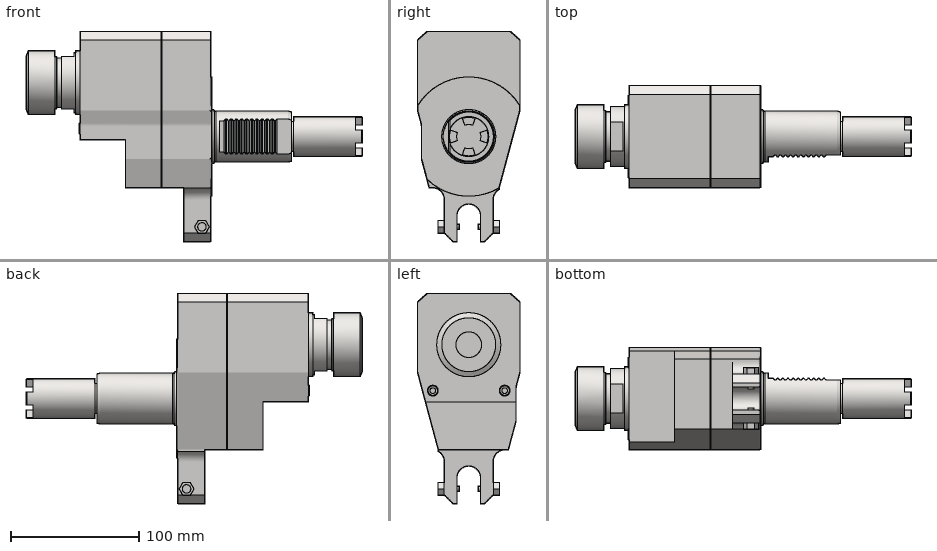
import cadquery as cq
import math


overall_length = 262.01

half_width = 40.0
top_z = 82.0
top_chamfer_y = 7.3
top_chamfer_z = 6.6
taper_angle = math.radians(15)
taper_top_z = 20.3
bottom_z = -40.0
side_flat_y = 37.0
side_flat_bottom_z = -17.5
side_flat_round = 8.0
taper_slope = math.tan(taper_angle)
bottom_y = half_width - (taper_top_z - bottom_z) * taper_slope

front_x = -102.0
foot_front_x = -66.6
foot_top_z = -2.5
seam_x = -38.6
seam_width = 0.8
seam_depth = 0.4

seat_radius = 46.5
seat_height = 0.8
rear_bevel_length = 1.6
rear_bevel_inset = 0.4

arm_thickness = 21.3
arm_half_width = 19.1
arm_fillet = 9.2
arm_bottom_z = -82.0
arm_chamfer = 6.8
slot_radius = 9.1
slot_top_z = -52.7

bolt_x = -7.0
bolt_z = -70.4
bolt_across_flats = 10.0
bolt_head_height = 5.0
bolt_face_radius = 3.3
bolt_face_recess = 0.2
bolt_tip_radius = 2.2
bolt_tip_y = 7.4

tool_z = 42.0
nose_x = -144.0
nut_end_x = -121.7
nut_radius = 25.0
nut_face_radius = 21.0
nut_chamfer_length = 1.7
ridge_radius = 20.4
ridge_end_x = -120.4
ridge_cone_length = 0.6
neck_radius = 19.4
body_start_x = -116.6
body_radius = 23.5
flat_end_x = -106.9
flange_start_x = -105.5
flange_radius = 25.0
wrench_flat_half = 20.6
bore_radius = 10.0
bore_depth = 25.0

screw_y = 28.0
screw_z = 6.2
screw_radius = 4.2
screw_height = 0.9
screw_chamfer = 0.5
screw_hole_radius = 2.2
screw_hole_depth = 4.0

shank_radius = 20.0
shank_end_x = 63.0
shank_chamfer_length = 2.7
shank_chamfer_height = 0.8
collar_radius = 21.1
collar_round = 1.1
collar_end_x = 2.7
lead_in_radius = 19.4
lead_in_end_x = 3.8

crest_y = -15.9
root_y = -14.5
crest_start_x = 6.6
tooth_pitch = 4.0
tooth_count = 10
first_root_x = 11.9
root_width = 0.8
groove_mouth_width = 3.5

journal_radius = 11.8
tail_start_x = 64.5
tail_radius = 15.6
tail_end_x = nose_x + overall_length
tail_chamfer = 0.6
drive_depth = 5.3
drive_recess_radius = 9.4
lug_count = 4
lug_half_angle = math.radians(19.5)


def box(x0, x1, y0, y1, z0, z1):
    """Box between opposite corners."""
    return cq.Workplane("XY").box(x1 - x0, y1 - y0, z1 - z0, centered=False).translate((x0, y0, z0))


def turned(points, axis_z):
    """Solid of revolution about the X-parallel axis at height axis_z, from (x, radius) points."""
    profile = [(points[0][0], 0)] + points + [(points[-1][0], 0)]
    solid = cq.Workplane("XZ").polyline(profile).close().revolve(360, (0, 0, 0), (1, 0, 0))
    return solid.translate((0, 0, axis_z))


def rod_x(x0, x1, radius, y, z):
    """Cylinder along X."""
    return cq.Workplane("YZ", origin=(x0, y, z)).circle(radius).extrude(x1 - x0)


def make_housing():
    """Tapered housing with a side flat and a recess under its front."""
    flat_top_z = taper_top_z - (half_width - side_flat_y) / taper_slope
    flat_bottom_y = side_flat_y - (side_flat_bottom_z - bottom_z) * taper_slope
    outline = [
        (half_width - top_chamfer_y, top_z),
        (half_width, top_z - top_chamfer_z),
        (half_width, taper_top_z),
        (bottom_y, bottom_z),
        (-flat_bottom_y, bottom_z),
        (-side_flat_y, side_flat_bottom_z),
        (-side_flat_y, flat_top_z),
        (-half_width, taper_top_z),
        (-half_width, top_z - top_chamfer_z),
        (-half_width + top_chamfer_y, top_z),
    ]
    start = cq.Workplane("YZ", origin=(front_x, 0, 0))
    housing = start.polyline(outline).close().extrude(seat_height - front_x)
    flat_corner = cq.selectors.BoxSelector(
        (front_x, -half_width, flat_top_z - side_flat_round),
        (seat_height, -bottom_y, flat_top_z + side_flat_round),
    )
    housing = housing.edges("|X").edges(flat_corner).fillet(side_flat_round)
    return housing.cut(box(front_x, foot_front_x, -half_width, half_width, bottom_z, foot_top_z))


def make_arm():
    """Fork arm with rounded roots, a round-ended slot and chamfered tips."""
    x0 = -arm_thickness
    x1 = seat_height
    web_half_width = arm_half_width + arm_fillet
    web_z = bottom_z - arm_fillet
    arm = box(x0, x1, -arm_half_width, arm_half_width, arm_bottom_z, bottom_z)
    arm = arm.edges("|X and <Z").chamfer(arm_chamfer)
    arm = arm.union(box(x0, x1, -web_half_width, bottom_y, web_z, bottom_z))
    for side in (-1, 1):
        arm = arm.cut(rod_x(x0, x1, arm_fillet, side * web_half_width, web_z))
    slot_center_z = slot_top_z - slot_radius
    arm = arm.cut(rod_x(x0, x1, slot_radius, 0, slot_center_z))
    return arm.cut(box(x0, x1, -slot_radius, slot_radius, arm_bottom_z, slot_center_z))


def finish_rear(body):
    """Bevel the rear outline, then leave the seating disc proud of the rear face."""
    body = body.faces(">X").chamfer(rear_bevel_inset, rear_bevel_length)
    slab = box(0, seat_height, -half_width, half_width, arm_bottom_z, top_z)
    return body.cut(slab.cut(rod_x(0, seat_height, seat_radius, 0, 0)))


def cut_seam(housing):
    """Shallow joint groove around the housing outline."""
    x0 = seam_x - seam_width / 2
    x1 = seam_x + seam_width / 2
    band = housing.intersect(box(x0, x1, -half_width, half_width, bottom_z, top_z))
    core_outline = band.faces("<X").wires().val().offset2D(-seam_depth)[0]
    core = cq.Workplane("YZ", origin=(x0, 0, 0)).add(core_outline).toPending().extrude(seam_width)
    return housing.cut(band.cut(core))


def make_bolt(side):
    """Clamping bolt on one fork leg, side being the sign of Y."""
    seat = cq.Workplane("XZ", origin=(bolt_x, 0, bolt_z))
    corner_diameter = bolt_across_flats / math.cos(math.pi / 6)
    head_y = arm_half_width + bolt_head_height
    head = seat.workplane(offset=arm_half_width).polygon(6, corner_diameter).extrude(bolt_head_height)
    recess = seat.workplane(offset=head_y).circle(bolt_face_radius).extrude(-bolt_face_recess)
    stem = seat.workplane(offset=bolt_tip_y).circle(bolt_tip_radius).extrude(arm_half_width - bolt_tip_y)
    bolt = head.cut(recess).union(stem)
    if side > 0:
        bolt = bolt.mirror("XZ")
    return bolt


def make_tool_spindle():
    """Clamping nut, neck, wrench body and flange, with a blind bore in the nose."""
    spindle = turned(
        [
            (nose_x, nut_face_radius),
            (nose_x + nut_chamfer_length, nut_radius),
            (nut_end_x, nut_radius),
            (nut_end_x, ridge_radius),
            (ridge_end_x, ridge_radius),
            (ridge_end_x + ridge_cone_length, neck_radius),
            (body_start_x, neck_radius),
            (body_start_x, body_radius),
            (flange_start_x, body_radius),
            (flange_start_x, flange_radius),
            (front_x, flange_radius),
        ],
        tool_z,
    )
    for z0 in (tool_z - body_radius, tool_z + wrench_flat_half):
        z1 = z0 + body_radius - wrench_flat_half
        spindle = spindle.cut(box(body_start_x, flat_end_x, -body_radius, body_radius, z0, z1))
    return spindle.cut(rod_x(nose_x, nose_x + bore_depth, bore_radius, 0, tool_z))


def make_screw(y):
    """Chamfered screw head standing on the front face."""
    head = rod_x(front_x - screw_height, front_x, screw_radius, y, screw_z)
    return head.faces("<X").edges().chamfer(screw_chamfer)


def screw_hole(y):
    """Blind hole through a screw head into the housing."""
    x0 = front_x - screw_height
    return rod_x(x0, x0 + screw_hole_depth, screw_hole_radius, y, screw_z)


def make_shank():
    """Rounded collar, locating shank, journal and drive tail."""
    collar = rod_x(0, collar_end_x, collar_radius, 0, 0)
    collar = collar.faces(">X").edges().fillet(collar_round)
    shank = turned(
        [
            (0, lead_in_radius),
            (collar_end_x, lead_in_radius),
            (lead_in_end_x, shank_radius),
            (shank_end_x - shank_chamfer_length, shank_radius),
            (shank_end_x, shank_radius - shank_chamfer_height),
            (shank_end_x, journal_radius),
            (tail_start_x, journal_radius),
            (tail_start_x, tail_radius),
            (tail_end_x - tail_chamfer, tail_radius),
            (tail_end_x, tail_radius - tail_chamfer),
        ],
        0,
    )
    return shank.union(collar)


def cut_teeth(shank):
    """Mill the flat, its tooth grooves and the deeper flat at the end of the shank."""
    half_mouth = groove_mouth_width / 2
    half_root = root_width / 2
    profile = cq.Workplane("XY").moveTo(crest_start_x, -shank_radius).lineTo(crest_start_x, crest_y)
    for i in range(tooth_count):
        root_x = first_root_x + i * tooth_pitch
        profile = profile.lineTo(root_x - half_mouth, crest_y).lineTo(root_x - half_root, root_y)
        profile = profile.lineTo(root_x + half_root, root_y).lineTo(root_x + half_mouth, crest_y)
    end_root_x = first_root_x + tooth_count * tooth_pitch
    profile = profile.lineTo(end_root_x - half_mouth, crest_y).lineTo(end_root_x - half_root, root_y)
    profile = profile.lineTo(shank_end_x, root_y).lineTo(shank_end_x, -shank_radius).close()
    return shank.cut(profile.extrude(shank_radius, both=True))


def cut_drive_end(shank):
    """Clear the end of the tail down to four radial lugs around a central recess."""
    x0 = tail_end_x - drive_depth
    reach = 2 * tail_radius
    lug_half_width = reach * math.tan(lug_half_angle)
    waste = rod_x(x0, tail_end_x, tail_radius, 0, 0)
    wedge = cq.Workplane("YZ", origin=(x0, 0, 0))
    wedge = wedge.polyline([(0, 0), (lug_half_width, reach), (-lug_half_width, reach)]).close()
    lug = wedge.extrude(drive_depth).cut(rod_x(x0, tail_end_x, drive_recess_radius, 0, 0))
    for i in range(lug_count):
        waste = waste.cut(lug.rotate((0, 0, 0), (1, 0, 0), i * 360 / lug_count))
    return shank.cut(waste)


body = cut_seam(finish_rear(make_housing().union(make_arm())))
body = body.union(make_tool_spindle())
body = body.union(cut_drive_end(cut_teeth(make_shank())))
for side in (-1, 1):
    body = body.union(make_bolt(side))
    body = body.union(make_screw(side * screw_y)).cut(screw_hole(side * screw_y))
result = body.solids()